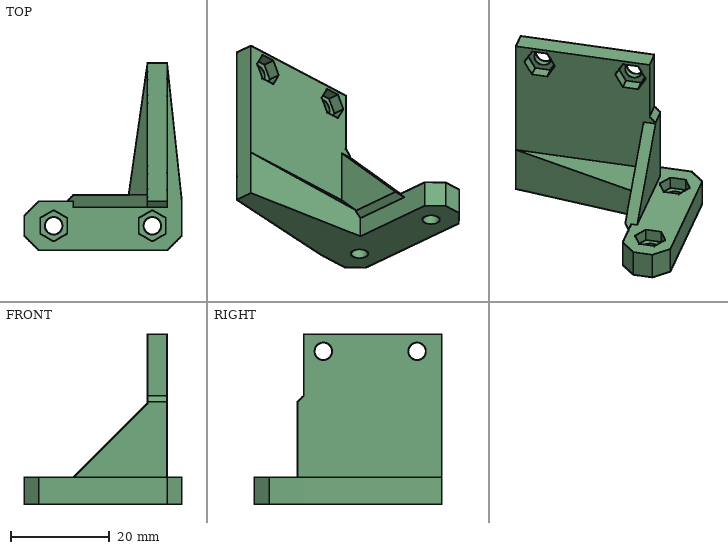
import cadquery as cq
import math

BASE_LENGTH = 32.0
BASE_WIDTH = 10.0
BASE_HEIGHT = 5.5
CORNER_CUT = 3.0

PLATE_LEFT = 25.0
PLATE_THICKNESS = 4.0
PLATE_RIGHT = PLATE_LEFT + PLATE_THICKNESS
PART_DEPTH = 38.0
PART_HEIGHT = 34.5

FOOT_FLARE = 4.0

GUSSET_THICKNESS = 2.5
GUSSET_LENGTH = 15.0
GUSSET_FRONT = BASE_WIDTH - GUSSET_THICKNESS / 2
GUSSET_BACK = BASE_WIDTH + GUSSET_THICKNESS / 2
OVERHANG = GUSSET_BACK - BASE_WIDTH
NOSE_TOP = 22.0

BOLT_DIAMETER = 3.5
NUT_SIDES = 6
NUT_FLATS = 5.5
NUT_CORNERS = NUT_FLATS / math.cos(math.pi / NUT_SIDES)
NUT_DEPTH = 2.5
BASE_BOLT_X = (6.0, 26.0)
BASE_BOLT_Y = BASE_WIDTH / 2
PLATE_BOLT_Y = (14.0, 33.0)
PLATE_BOLT_Z = 31.0


def make_base():
    """Bar with three cut corners; the back right corner runs into the foot."""
    outline = [
        (CORNER_CUT, 0),
        (BASE_LENGTH - CORNER_CUT, 0),
        (BASE_LENGTH, CORNER_CUT),
        (BASE_LENGTH, BASE_WIDTH),
        (CORNER_CUT, BASE_WIDTH),
        (0, BASE_WIDTH - CORNER_CUT),
        (0, CORNER_CUT),
    ]
    return cq.Workplane("XY").polyline(outline).close().extrude(BASE_HEIGHT)


def make_plate():
    """Upright plate with a sloped nose that meets the gusset front."""
    outline = [
        (BASE_WIDTH, 0),
        (PART_DEPTH, 0),
        (PART_DEPTH, PART_HEIGHT),
        (BASE_WIDTH, PART_HEIGHT),
        (BASE_WIDTH, NOSE_TOP),
        (GUSSET_FRONT, NOSE_TOP - (BASE_WIDTH - GUSSET_FRONT)),
        (GUSSET_FRONT, BASE_HEIGHT),
        (BASE_WIDTH, BASE_HEIGHT),
    ]
    return (
        cq.Workplane("YZ", origin=(PLATE_LEFT, 0, 0))
        .polyline(outline)
        .close()
        .extrude(PLATE_THICKNESS)
    )


def make_foot():
    """Foot that tapers to the plate thickness at the back, with a 45 degree rise on its left."""
    flare_left = PLATE_LEFT - FOOT_FLARE
    rise_top = BASE_HEIGHT + FOOT_FLARE
    section = [
        (flare_left, 0),
        (BASE_LENGTH, 0),
        (BASE_LENGTH, BASE_HEIGHT),
        (PLATE_RIGHT, BASE_HEIGHT),
        (PLATE_RIGHT, rise_top),
        (PLATE_LEFT, rise_top),
        (flare_left, BASE_HEIGHT),
    ]
    plan = [
        (flare_left, BASE_WIDTH),
        (BASE_LENGTH, BASE_WIDTH),
        (PLATE_RIGHT, PART_DEPTH),
        (PLATE_LEFT, PART_DEPTH),
    ]
    bar = (
        cq.Workplane("XZ", origin=(0, BASE_WIDTH, 0))
        .polyline(section)
        .close()
        .extrude(BASE_WIDTH - PART_DEPTH)
    )
    taper = cq.Workplane("XY").polyline(plan).close().extrude(rise_top)
    return bar.intersect(taper)


def make_gusset():
    """Triangular web whose rear overhang is carried on a 45 degree underside."""
    gusset_top = BASE_HEIGHT + GUSSET_LENGTH
    underside = BASE_HEIGHT - OVERHANG
    slope_start = PLATE_LEFT - GUSSET_LENGTH - OVERHANG
    triangle = [
        (slope_start, underside),
        (PLATE_LEFT, underside),
        (PLATE_LEFT, gusset_top),
    ]
    section = [
        (GUSSET_FRONT, underside),
        (BASE_WIDTH, underside),
        (GUSSET_BACK, BASE_HEIGHT),
        (GUSSET_BACK, gusset_top),
        (GUSSET_FRONT, gusset_top),
    ]
    web = (
        cq.Workplane("XZ", origin=(0, GUSSET_FRONT, 0))
        .polyline(triangle)
        .close()
        .extrude(-GUSSET_THICKNESS)
    )
    envelope = cq.Workplane("YZ").polyline(section).close().extrude(PLATE_LEFT)
    return web.intersect(envelope)


def make_bolt_cut(face, thickness):
    """Through hole and nut pocket, both sunk from the origin of the given face plane."""
    hole = cq.Workplane(face).circle(BOLT_DIAMETER / 2).extrude(-thickness)
    pocket = cq.Workplane(face).polygon(NUT_SIDES, NUT_CORNERS).extrude(-NUT_DEPTH)
    return hole.union(pocket)


result = make_base().union(make_plate()).union(make_foot()).union(make_gusset())

for bolt_x in BASE_BOLT_X:
    base_face = cq.Plane(origin=(bolt_x, BASE_BOLT_Y, BASE_HEIGHT), xDir=(0, 1, 0), normal=(0, 0, 1))
    result = result.cut(make_bolt_cut(base_face, BASE_HEIGHT))

for bolt_y in PLATE_BOLT_Y:
    plate_face = cq.Plane(origin=(PLATE_LEFT, bolt_y, PLATE_BOLT_Z), xDir=(0, 1, 0), normal=(-1, 0, 0))
    result = result.cut(make_bolt_cut(plate_face, PLATE_THICKNESS))